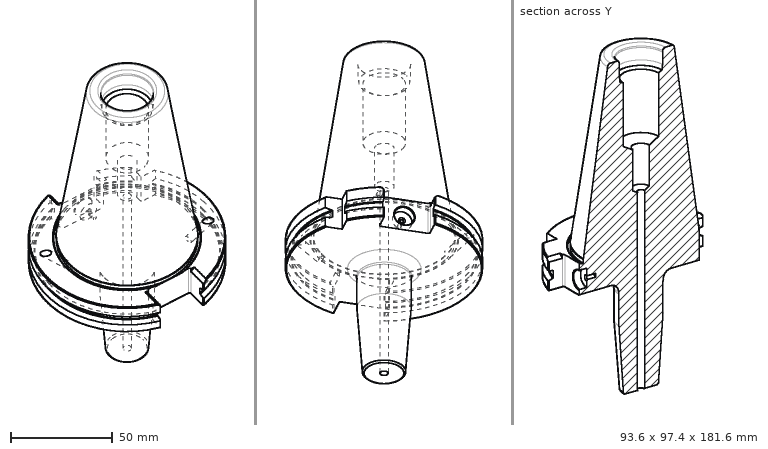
import cadquery as cq
import math

total_length = 181.6
flange_bottom = 60.8
flange_top = 78.3
gauge_line = 79.9

taper_slope = 7 / 48
gauge_radius = 34.9
taper_end_radius = gauge_radius - taper_slope * (total_length - gauge_line)
taper_end_round = 1.8

shoulder_radius = 35.0
shoulder_chamfer = shoulder_radius - gauge_radius
relief_outer_radius = 36.7
relief_chamfer = 0.5
relief_depth = 0.7

flange_radius = 48.7
flange_chamfer = 0.5
groove_center = 69.0
groove_root_radius = 45.5
groove_root_chamfer = 0.4
groove_root_half_width = 1.6
groove_mouth_half_width = 2.9

neck_radius = 13.5
neck_collar_radius = 13.6
neck_fillet = 4.5
collar_cone_height = 1.0
nose_cone_top = 38.1
nose_end_radius = 10.7
nose_end_chamfer = 0.9

mouth_radius = 14.5
mouth_round = 1.5
counterbore_radius = 12.9
counterbore_top_depth = 2.2
counterbore_depth = 8.9
lead_radius = 12.5
lead_depth = 11.8
thread_bore_radius = 10.5
thread_bore_depth = 47.2
middle_bore_radius = 4.9
middle_bore_depth = 72.6
coolant_bore_radius = 2.0
drill_point_slope = math.tan(math.radians(30))

slot_half_width = 12.9
slot_corner_radius = 0.9
slot_edge_chamfer = 0.5
slot_top_chamfer = 2.0
left_slot_floor = 37.5
right_slot_floor = 35.2

notch_corner = 29.8

side_hole_radius = 5.0
side_hole_depth = 4.5
side_hole_chamfer = 0.4
side_pilot_radius = 0.9
side_pilot_depth = 5.5
side_pilot_chamfer = 0.7

inclined_hole_radius = 2.0
inclined_hole_circle = 41.5
inclined_hole_angle = 70.0
inclined_hole_tilt = 45.0
inclined_hole_depth = 14.5


def make_body():
    """Revolve the outer profile of nose, flange and taper."""
    collar_top = flange_bottom - neck_fillet
    fillet_outer = neck_collar_radius + neck_fillet
    arc_leg = neck_fillet * math.sqrt(0.5)
    groove_flank_half_width = groove_root_half_width + groove_root_chamfer
    relief_floor_radius = relief_outer_radius - relief_chamfer
    profile = (
        cq.Workplane("XZ")
        .moveTo(0, 0)
        .lineTo(nose_end_radius - nose_end_chamfer, 0)
        .lineTo(nose_end_radius, nose_end_chamfer)
        .lineTo(neck_radius, nose_cone_top)
        .lineTo(neck_radius, collar_top - collar_cone_height)
        .lineTo(neck_collar_radius, collar_top)
        .threePointArc((fillet_outer - arc_leg, collar_top + arc_leg), (fillet_outer, flange_bottom))
        .lineTo(flange_radius - flange_chamfer, flange_bottom)
        .lineTo(flange_radius, flange_bottom + flange_chamfer)
        .lineTo(flange_radius, groove_center - groove_mouth_half_width)
        .lineTo(groove_root_radius + groove_root_chamfer, groove_center - groove_flank_half_width)
        .lineTo(groove_root_radius, groove_center - groove_root_half_width)
        .lineTo(groove_root_radius, groove_center + groove_root_half_width)
        .lineTo(groove_root_radius + groove_root_chamfer, groove_center + groove_flank_half_width)
        .lineTo(flange_radius, groove_center + groove_mouth_half_width)
        .lineTo(flange_radius, flange_top - flange_chamfer)
        .lineTo(flange_radius - flange_chamfer, flange_top)
        .lineTo(relief_outer_radius, flange_top)
        .lineTo(relief_floor_radius, flange_top - relief_depth)
        .lineTo(shoulder_radius, flange_top - relief_depth)
        .lineTo(shoulder_radius, gauge_line - shoulder_chamfer)
        .lineTo(gauge_radius, gauge_line)
        .lineTo(taper_end_radius, total_length)
        .lineTo(0, total_length)
        .close()
    )
    body = profile.revolve(360, (0, 0, 0), (0, 1, 0))
    return body.faces(">Z").edges().fillet(taper_end_round)


def make_bore():
    """Revolve the stepped bore that runs through the whole length."""
    arc_leg = mouth_round * math.sqrt(0.5)
    round_start = total_length - mouth_round
    lead_bottom = total_length - lead_depth
    lead_cone = drill_point_slope * (lead_radius - thread_bore_radius)
    thread_bottom = total_length - thread_bore_depth
    middle_bottom = total_length - middle_bore_depth
    thread_point = drill_point_slope * (thread_bore_radius - middle_bore_radius)
    middle_point = drill_point_slope * (middle_bore_radius - coolant_bore_radius)
    profile = (
        cq.Workplane("XZ")
        .moveTo(0, 0)
        .lineTo(coolant_bore_radius, 0)
        .lineTo(coolant_bore_radius, middle_bottom - middle_point)
        .lineTo(middle_bore_radius, middle_bottom)
        .lineTo(middle_bore_radius, thread_bottom - thread_point)
        .lineTo(thread_bore_radius, thread_bottom)
        .lineTo(thread_bore_radius, lead_bottom - lead_cone)
        .lineTo(lead_radius, lead_bottom)
        .lineTo(counterbore_radius, total_length - counterbore_depth)
        .lineTo(counterbore_radius, total_length - counterbore_top_depth)
        .lineTo(mouth_radius - mouth_round, round_start)
        .threePointArc((mouth_radius - arc_leg, round_start + arc_leg), (mouth_radius, total_length))
        .lineTo(0, total_length)
        .close()
    )
    return profile.revolve(360, (0, 0, 0), (0, 1, 0))


def make_slot(floor):
    """Cutter for a drive slot on the +X side: rounded floor corners, chamfered mouth and top edges."""
    height = flange_top - flange_bottom
    reach = flange_radius
    mouth_half_width = slot_half_width + slot_edge_chamfer
    tip_x = math.sqrt(flange_radius**2 - mouth_half_width**2)
    channel = (
        cq.Workplane("XY", origin=(0, 0, flange_bottom))
        .moveTo((floor + reach) / 2, 0)
        .rect(reach - floor, 2 * slot_half_width)
        .extrude(height)
        .edges("|Z and <X")
        .fillet(slot_corner_radius)
    )
    mouth = (
        cq.Workplane("XY", origin=(0, 0, flange_bottom))
        .moveTo(tip_x - slot_edge_chamfer, slot_half_width)
        .lineTo(tip_x, mouth_half_width)
        .lineTo(reach, mouth_half_width)
        .lineTo(reach, -mouth_half_width)
        .lineTo(tip_x, -mouth_half_width)
        .lineTo(tip_x - slot_edge_chamfer, -slot_half_width)
        .close()
        .extrude(height)
    )
    top_half_width = slot_half_width + slot_top_chamfer
    top_edges = (
        cq.Workplane("YZ", origin=(floor + slot_corner_radius, 0, 0))
        .moveTo(slot_half_width, flange_top - slot_top_chamfer)
        .lineTo(top_half_width, flange_top)
        .lineTo(-top_half_width, flange_top)
        .lineTo(-slot_half_width, flange_top - slot_top_chamfer)
        .close()
        .extrude(reach - floor)
    )
    return channel.union(mouth).union(top_edges)


def make_notch():
    """Cutter for the square notch in the (-X, +Y) rim."""
    return (
        cq.Workplane("XY", origin=(-notch_corner, notch_corner, flange_bottom))
        .rect(-flange_radius, flange_radius, centered=False)
        .extrude(flange_top - flange_bottom)
    )


def make_side_hole():
    """Revolve the cutter for the flat-bottomed hole and its pilot, both with chamfered rims."""
    rim_x = -left_slot_floor
    bottom_x = rim_x + side_hole_depth
    end_x = bottom_x + side_pilot_depth
    profile = (
        cq.Workplane("XY", origin=(0, 0, groove_center))
        .moveTo(rim_x, 0)
        .lineTo(rim_x, side_hole_radius + side_hole_chamfer)
        .lineTo(rim_x + side_hole_chamfer, side_hole_radius)
        .lineTo(bottom_x, side_hole_radius)
        .lineTo(bottom_x, side_pilot_radius + side_pilot_chamfer)
        .lineTo(bottom_x + side_pilot_chamfer, side_pilot_radius)
        .lineTo(end_x, side_pilot_radius)
        .lineTo(end_x, 0)
        .close()
    )
    return profile.revolve(360, (0, 0, 0), (1, 0, 0))


def make_inclined_hole(angle):
    """Cutter for a blind hole entering the flange face and leaning toward the axis."""
    tilt = math.radians(inclined_hole_tilt)
    inward = cq.Vector(-math.sin(tilt), 0, -math.cos(tilt))
    mouth_center = cq.Vector(inclined_hole_circle, 0, flange_top)
    lead_in = 2 * inclined_hole_radius
    hole = cq.Solid.makeCylinder(
        inclined_hole_radius,
        lead_in + inclined_hole_depth,
        mouth_center - inward * lead_in,
        inward,
    )
    return cq.Workplane(hole).rotate((0, 0, 0), (0, 0, 1), angle)


result = make_body().cut(make_bore())
result = result.cut(make_slot(right_slot_floor))
result = result.cut(make_slot(left_slot_floor).rotate((0, 0, 0), (0, 0, 1), 180))
result = result.cut(make_notch())
result = result.cut(make_side_hole())
for hole_angle in (inclined_hole_angle, inclined_hole_angle + 180):
    result = result.cut(make_inclined_hole(hole_angle))